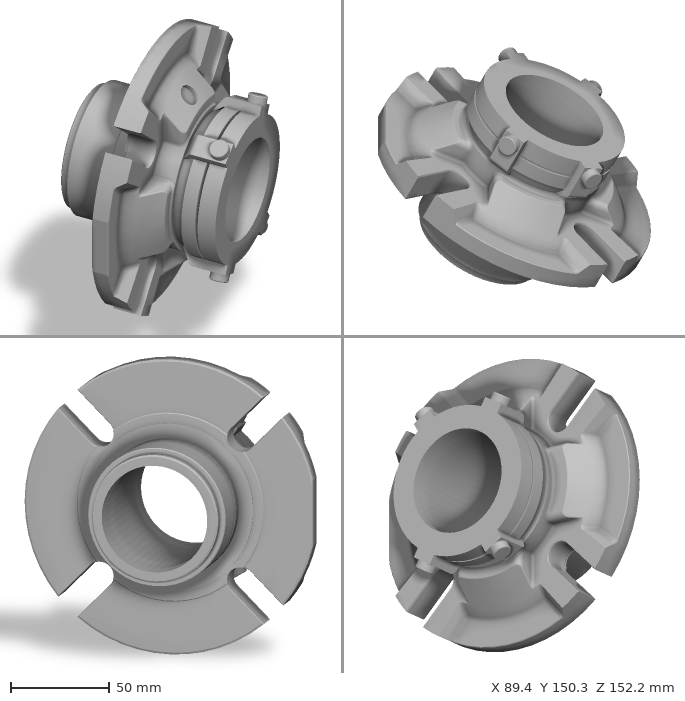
import cadquery as cq
import math


BORE_D = 54.99
NOSE_D = 65.92
NOSE_CHAMFER_X = 0.9
NOSE_CHAMFER_R = 0.6
NOSE_END = 4.7
SLEEVE_D = 71.78
SLEEVE_CHAMFER = 0.5
SLEEVE_END = 26.9
SLEEVE_GROOVE_D = 69.88
SLEEVE_GROOVE_END = 28.4
NECK_D = 71.7
COLLAR_D = 79.7
COLLAR_START = 70.1
COLLAR_CHAMFER_X = 0.9
COLLAR_CHAMFER_R = 0.4
COLLAR_GROOVE_D = 67.46
COLLAR_GROOVE_START = 78.1
COLLAR_GROOVE_END = 79.6
TOTAL_LENGTH = 89.43

FLANGE_D = 152.15
FLAT_DISTANCE = 74.2
FLANGE_FRONT = 36.1
FLANGE_FRONT_CHAMFER_X = 1.0
FLANGE_FRONT_CHAMFER_R = 0.5
LAND_X = 51.85
POCKET_FLOOR_X = 45.5
RIM_REAR_CHAMFER = 0.4
FLAT_REAR_CHAMFER_X = 1.1
FLAT_REAR_CHAMFER_Y = 0.4
FLAT_CHAMFER_HALF_LENGTH = 22.0
PILOT_D = 86.72
PILOT_FRONT = 35.0
STEP_D = 97.5
STEP_FRONT = 35.7
STEP_FLARE = 0.5

SLOT_ANGLE = 45
SLOT_W = 14.0
SLOT_BOTTOM_R = 44.7
SLOT_CHAMFER_X = 0.9
SLOT_CHAMFER_W = 0.4

POCKET_INNER_R = 40.0
POCKET_OUTER_R = 80.0
POCKET_INNER_HALF_W = 10.4
POCKET_SIDE_SLOPE = 0.87
POCKET_SIDE_SPREAD = 6.0

CONE_R_AT_LAND = 55.5
CONE_SLOPE = 0.94
BOSS_END = 63.4
SHORT_BOSS_END = 60.1
BOSS_W = 40.0
BOSS_CORNER_R = 3.4
BOSS_EDGE_R = 0.8
ROOT_FILLET_R = 1.8
POCKET_FILLET_R = 2.8
HUB_R = 38.75
HUB_END = 64.3

PORT_D = 11.0
PORT_X = 57.0
PORT_DEPTH = 2.6

CLIP_ANGLES = (30, 150, 210, 330)
CLIP_W = 11.5
CLIP_TOP_R = 44.6
CLIP_BOTTOM_R = 39.2
CLIP_BEND_X = 69.5
CLIP_BEND_RADIUS = 3.0
CLIP_FOOT_TOP_R = 36.6
CLIP_FOOT_BOTTOM_R = 35.2
PIN_D = 10.0
PIN_TOP_R = 49.0
PIN_CHAMFER = 0.4


def ring(x_start, x_end, diameter):
    """Solid disc about the X axis between two positions."""
    return cq.Workplane("YZ").workplane(offset=x_start).circle(diameter / 2).extrude(x_end - x_start)


def revolved(points):
    """Solid of revolution about X from an (x, radius) outline."""
    return cq.Workplane("XY").polyline(points).close().revolve(360, (0, 0, 0), (1, 0, 0))


def turned(solid, angle):
    return solid.rotate((0, 0, 0), (1, 0, 0), angle)


def cone_radius(x):
    return CONE_R_AT_LAND - CONE_SLOPE * (x - LAND_X)


def make_sleeve():
    sleeve = ring(0, NOSE_END, NOSE_D).faces("<X").chamfer(NOSE_CHAMFER_R, NOSE_CHAMFER_X)
    sleeve = sleeve.union(ring(NOSE_END, SLEEVE_END, SLEEVE_D).edges().chamfer(SLEEVE_CHAMFER))
    sleeve = sleeve.union(ring(SLEEVE_END, SLEEVE_GROOVE_END, SLEEVE_GROOVE_D))
    sleeve = sleeve.union(ring(SLEEVE_GROOVE_END, COLLAR_START, NECK_D))
    collar = ring(COLLAR_START, COLLAR_GROOVE_START, COLLAR_D)
    sleeve = sleeve.union(collar.faces("<X").chamfer(COLLAR_CHAMFER_R, COLLAR_CHAMFER_X))
    sleeve = sleeve.union(ring(COLLAR_GROOVE_START, COLLAR_GROOVE_END, COLLAR_GROOVE_D))
    return sleeve.union(ring(COLLAR_GROOVE_END, TOTAL_LENGTH, COLLAR_D))


def make_pocket():
    """Cutter for the +Z pocket: a wedge widening outward, with sides leaning out to the rear."""

    def outline(spread):
        inner = POCKET_INNER_HALF_W + spread
        outer = inner + POCKET_SIDE_SLOPE * (POCKET_OUTER_R - POCKET_INNER_R)
        return [
            (-inner, POCKET_INNER_R),
            (inner, POCKET_INNER_R),
            (outer, POCKET_OUTER_R),
            (-outer, POCKET_OUTER_R),
        ]

    floor = cq.Workplane("YZ").workplane(offset=POCKET_FLOOR_X).polyline(outline(0)).close()
    rear = floor.workplane(offset=LAND_X - POCKET_FLOOR_X)
    return rear.polyline(outline(POCKET_SIDE_SPREAD)).close().loft(ruled=True)


def make_flat_chamfer():
    """Cutter for the rear edge of the flat on the -Y side."""
    corner = (POCKET_FLOOR_X, -FLAT_DISTANCE)
    outline = [
        (corner[0] - FLAT_REAR_CHAMFER_X, corner[1]),
        (corner[0], corner[1] + FLAT_REAR_CHAMFER_Y),
        corner,
    ]
    return cq.Workplane("XY").polyline(outline).close().extrude(FLAT_CHAMFER_HALF_LENGTH, both=True)


def make_flange():
    flange = ring(FLANGE_FRONT, LAND_X, FLANGE_D)
    beyond_flat = cq.Workplane("XY").box(FLANGE_D, FLANGE_D, FLANGE_D)
    flange = flange.cut(beyond_flat.translate((0, -FLAT_DISTANCE - FLANGE_D / 2, 0)))
    flange = flange.faces("<X").chamfer(FLANGE_FRONT_CHAMFER_R, FLANGE_FRONT_CHAMFER_X)
    pocket = make_pocket()
    for quadrant in range(4):
        flange = flange.cut(turned(pocket, 90 * quadrant))
    rim_arcs = flange.edges("%CIRCLE").edges(cq.selectors.BoxSelector(
        (POCKET_FLOOR_X - RIM_REAR_CHAMFER, -FLANGE_D, -FLANGE_D),
        (POCKET_FLOOR_X + RIM_REAR_CHAMFER, FLANGE_D, FLANGE_D),
    ))
    flange = rim_arcs.chamfer(RIM_REAR_CHAMFER)
    flange = flange.cut(make_flat_chamfer())
    step_r = STEP_D / 2
    step = revolved([
        (STEP_FRONT, 0),
        (STEP_FRONT, step_r - STEP_FLARE),
        (FLANGE_FRONT, step_r),
        (LAND_X, step_r),
        (LAND_X, 0),
    ])
    return flange.union(step).union(ring(PILOT_FRONT, LAND_X, PILOT_D))


def make_boss(end):
    """Conical boss on the +Z side, flat sided, with rounded rear corners."""
    block = cq.Workplane("XY").box(end - POCKET_FLOOR_X, BOSS_W, FLANGE_D / 2, centered=(False, True, False))
    block = block.translate((POCKET_FLOOR_X, 0, 0)).edges("|Z and >X").fillet(BOSS_CORNER_R)
    cone = revolved([
        (POCKET_FLOOR_X, 0),
        (POCKET_FLOOR_X, cone_radius(POCKET_FLOOR_X)),
        (end, cone_radius(end)),
        (end, 0),
    ])
    boss = block.intersect(cone)
    side_edges = boss.faces("%CONE").edges("not(<X)").edges("not(>X)")
    return boss.newObject(side_edges.vals()).fillet(BOSS_EDGE_R)


def make_bosses():
    base = revolved([
        (FLANGE_FRONT, 0),
        (FLANGE_FRONT, cone_radius(POCKET_FLOOR_X)),
        (POCKET_FLOOR_X, cone_radius(POCKET_FLOOR_X)),
        (LAND_X, CONE_R_AT_LAND),
        (LAND_X, 0),
    ])
    bosses = base.union(ring(FLANGE_FRONT, HUB_END + ROOT_FILLET_R, 2 * HUB_R))
    for quadrant, end in enumerate((BOSS_END, BOSS_END, BOSS_END, SHORT_BOSS_END)):
        bosses = bosses.union(turned(make_boss(end), 90 * quadrant))
    return bosses


def make_slot():
    """Cutter for one radial slot on the +Z side, with its front and rear edge chamfers."""
    center = SLOT_BOTTOM_R + SLOT_W / 2

    def prism(x_start, depth, margin, taper):
        half_w = SLOT_W / 2 + margin
        outline = cq.Workplane("YZ").workplane(offset=x_start).moveTo(half_w, FLANGE_D)
        outline = outline.lineTo(half_w, center)
        outline = outline.threePointArc((0, center - half_w), (-half_w, center))
        return outline.lineTo(-half_w, FLANGE_D).close().extrude(depth, taper=taper)

    taper = math.degrees(math.atan2(SLOT_CHAMFER_W, SLOT_CHAMFER_X))
    slot = prism(PILOT_FRONT, LAND_X - PILOT_FRONT, 0, 0)
    slot = slot.union(prism(FLANGE_FRONT, SLOT_CHAMFER_X, SLOT_CHAMFER_W, taper))
    return slot.union(prism(LAND_X, -SLOT_CHAMFER_X, SLOT_CHAMFER_W, taper))


def make_clip():
    """Clip on the +Z side: a plate over the collar with a foot bent down to the neck, and a pin."""
    outline = [
        (HUB_END, CLIP_FOOT_BOTTOM_R),
        (HUB_END, CLIP_FOOT_TOP_R),
        (CLIP_BEND_X, CLIP_TOP_R),
        (TOTAL_LENGTH, CLIP_TOP_R),
        (TOTAL_LENGTH, CLIP_BOTTOM_R),
        (CLIP_BEND_X, CLIP_BOTTOM_R),
    ]
    plate = cq.Workplane("XZ").polyline(outline).close().extrude(CLIP_W / 2, both=True)
    bend = cq.selectors.NearestToPointSelector((CLIP_BEND_X, 0, CLIP_TOP_R))
    plate = plate.edges("|Y").edges(bend).fillet(CLIP_BEND_RADIUS)
    pin = cq.Workplane("XY", origin=(TOTAL_LENGTH - PIN_D / 2, 0, CLIP_BOTTOM_R))
    pin = pin.circle(PIN_D / 2).extrude(PIN_TOP_R - CLIP_BOTTOM_R).faces(">Z").chamfer(PIN_CHAMFER)
    return plate.union(pin)


def fillet_band(part, x_start, x_end, inner_r, outer_r, fillet_r):
    """Fillet every edge whose middle lies in a band along X and a band of radius."""

    def in_band(edge):
        middle = edge.positionAt(0.5)
        radius = math.hypot(middle.y, middle.z)
        return x_start < middle.x < x_end and inner_r < radius < outer_r

    chosen = [edge for edge in part.edges().vals() if in_band(edge)]
    return part.newObject(chosen).fillet(fillet_r)


def fillet_roots(gland):
    """Blend the bosses into the hub and lands, and the pockets into the cone."""
    margin = 0.1
    cone_root_r = cone_radius(POCKET_FLOOR_X)
    boss_side_r = (HUB_R + CONE_R_AT_LAND) / 2
    gland = fillet_band(gland, LAND_X - margin, BOSS_END + margin, HUB_R - margin, boss_side_r, ROOT_FILLET_R)
    pocket_root = (CONE_R_AT_LAND + margin, cone_root_r + margin, POCKET_FILLET_R)
    gland = fillet_band(gland, POCKET_FLOOR_X + margin, LAND_X - margin, *pocket_root)
    return fillet_band(gland, POCKET_FLOOR_X - margin, POCKET_FLOOR_X + margin, *pocket_root)


def make_port():
    center = cq.Vector(PORT_X, 0, cone_radius(PORT_X))
    outward = cq.Vector(CONE_SLOPE, 0, 1).normalized()
    start = center - outward * PORT_DEPTH
    return cq.Workplane(cq.Solid.makeCylinder(PORT_D / 2, 2 * PORT_D, start, outward))


gland = fillet_roots(make_flange().union(make_bosses()))
gland = gland.cut(ring(HUB_END, TOTAL_LENGTH, FLANGE_D))
slot = make_slot()
for quadrant in range(4):
    gland = gland.cut(turned(slot, SLOT_ANGLE + 90 * quadrant))
gland = gland.cut(make_port())

result = gland.union(make_sleeve())
for angle in CLIP_ANGLES:
    result = result.union(turned(make_clip(), angle))
result = result.cut(ring(0, TOTAL_LENGTH, BORE_D))